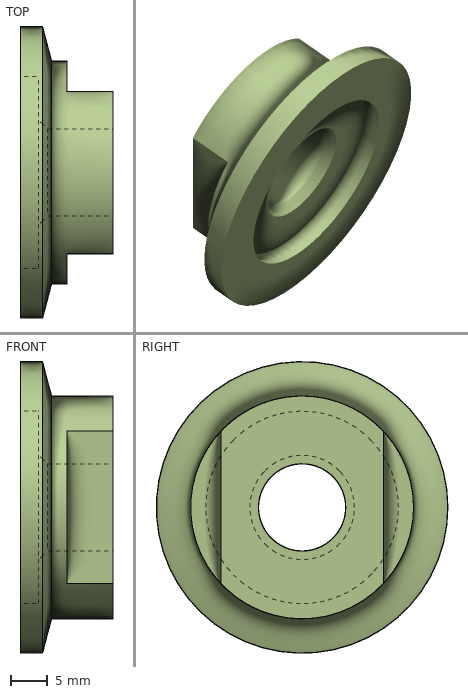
import cadquery as cq

flange_diameter = 39.88
total_length = 12.7

flange_rim_thickness = 3.05
taper_end = 4.25
hub_diameter = 30.45

flats_width = 22.2
flats_start = 6.4

recess_diameter = 26.32
recess_depth = 2.5
bore_diameter = 11.9
bore_chamfer = 1.2


def make_body():
    """Revolve the flange, taper, hub, recess and bore profile about X."""
    flange_radius = flange_diameter / 2
    hub_radius = hub_diameter / 2
    recess_radius = recess_diameter / 2
    bore_radius = bore_diameter / 2
    profile = [
        (0, recess_radius),
        (0, flange_radius),
        (flange_rim_thickness, flange_radius),
        (taper_end, hub_radius),
        (total_length, hub_radius),
        (total_length, bore_radius),
        (recess_depth + bore_chamfer, bore_radius),
        (recess_depth, bore_radius + bore_chamfer),
        (recess_depth, recess_radius),
    ]
    return cq.Workplane("XY").polyline(profile).close().revolve(360, (0, 0, 0), (1, 0, 0))


def make_flat_cutter(side):
    """Block that removes the hub beyond one flat; side is +1 or -1 along Y."""
    cut_length = total_length - flats_start
    cut_depth = (flange_diameter - flats_width) / 2
    center_x = flats_start + cut_length / 2
    center_y = side * (flats_width + cut_depth) / 2
    return cq.Workplane("XY").box(cut_length, cut_depth, flange_diameter).translate((center_x, center_y, 0))


result = make_body()
for side in (-1, 1):
    result = result.cut(make_flat_cutter(side))